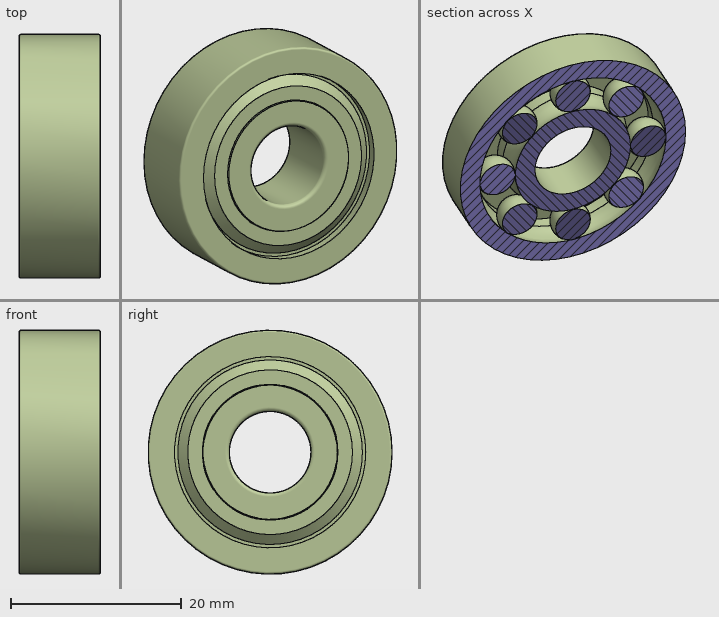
import cadquery as cq
import math

WIDTH = 9.525
OUTER_DIAMETER = 28.575
BORE_DIAMETER = 9.525
OUTER_EDGE_RADIUS = 0.254
BORE_EDGE_RADIUS = 0.475

BALL_COUNT = 8
BALL_DIAMETER = 4.7625
PITCH_RADIUS = (OUTER_DIAMETER + BORE_DIAMETER) / 4

INNER_RING_DIAMETER = 15.72
SHIELD_BORE_DIAMETER = 15.87
RECESS_DIAMETER = 22.38
CONE_BASE_DIAMETER = 21.6
CONE_TOP_DIAMETER = 19.27
RECESS_DEPTH = 1.17
SHIELD_DEPTH = 0.19
SHIELD_INNER_DEPTH = 1.6

half_width = WIDTH / 2
ball_radius = BALL_DIAMETER / 2
cavity_half_width = half_width - SHIELD_INNER_DEPTH


def tube(outer_diameter, inner_diameter, length):
    """Plain ring around X, centred on the origin."""
    return (
        cq.Workplane("YZ")
        .circle(outer_diameter / 2)
        .circle(inner_diameter / 2)
        .extrude(length)
        .translate((-length / 2, 0, 0))
    )


def ball_groove():
    """Raceway ring: the ball section swept once around the bearing axis."""
    return cq.Workplane(cq.Solid.makeTorus(PITCH_RADIUS, ball_radius, dir=cq.Vector(1, 0, 0)))


def shield_recess():
    """Ring-shaped pocket in the -X face that leaves a raised, conical-edged shield."""
    face_x = -half_width
    return (
        cq.Workplane("XY")
        .moveTo(face_x, SHIELD_BORE_DIAMETER / 2)
        .lineTo(face_x + SHIELD_DEPTH, SHIELD_BORE_DIAMETER / 2)
        .lineTo(face_x + SHIELD_DEPTH, CONE_TOP_DIAMETER / 2)
        .lineTo(face_x + RECESS_DEPTH, CONE_BASE_DIAMETER / 2)
        .lineTo(face_x + RECESS_DEPTH, RECESS_DIAMETER / 2)
        .lineTo(face_x, RECESS_DIAMETER / 2)
        .close()
        .revolve(360, (0, 0, 0), (1, 0, 0))
    )


def make_outer_ring():
    """Outer ring with a shield at each end and a ball cavity between the shields."""
    blank = tube(OUTER_DIAMETER, SHIELD_BORE_DIAMETER, WIDTH)
    blank = blank.edges(cq.selectors.RadiusNthSelector(-1)).fillet(OUTER_EDGE_RADIUS)
    cavity = tube(RECESS_DIAMETER, SHIELD_BORE_DIAMETER, 2 * cavity_half_width)
    recess = shield_recess()
    return blank.cut(cavity).cut(ball_groove()).cut(recess).cut(recess.mirror("YZ"))


def make_inner_ring():
    """Inner ring with rounded bore edges and a raceway groove."""
    ring = tube(INNER_RING_DIAMETER, BORE_DIAMETER, WIDTH)
    ring = ring.edges(cq.selectors.RadiusNthSelector(0)).fillet(BORE_EDGE_RADIUS)
    return ring.cut(ball_groove())


def make_ball(index):
    """One ball on the pitch circle, counted from the +Y axis."""
    angle = 2 * math.pi * index / BALL_COUNT
    centre = (0, PITCH_RADIUS * math.cos(angle), PITCH_RADIUS * math.sin(angle))
    return cq.Workplane("XY").sphere(ball_radius).translate(centre)


outer_ring = make_outer_ring()
inner_ring = make_inner_ring()
balls = [make_ball(index) for index in range(BALL_COUNT)]

result = cq.Compound.makeCompound(
    [outer_ring.solids().val(), inner_ring.solids().val(), *[ball.val() for ball in balls]]
)